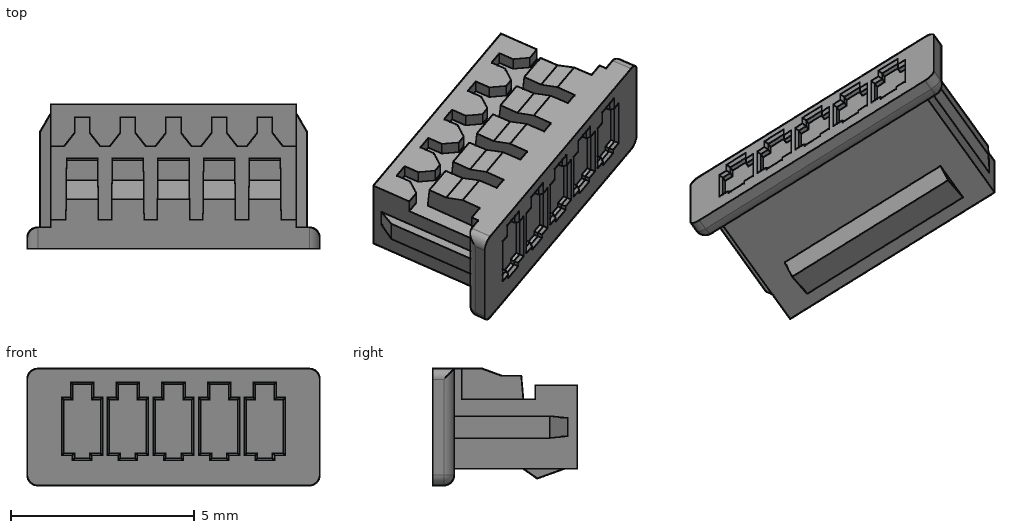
import cadquery as cq

flange_width = 8.0
flange_height = 3.2
flange_thickness = 0.59
flange_round = 0.3

body_width = 6.72
body_back = 3.95
body_top = 1.14
body_bottom = -1.14
flange_top = flange_height / 2

contact_count = 5
contact_pitch = 1.25
contact_centers = [(i - (contact_count - 1) / 2) * contact_pitch for i in range(contact_count)]

channel_floor = 0.76
bar_back = 0.8
finger_top_back = 2.42
finger_foot_back = 2.48
finger_low_top = 1.41
finger_slope_back = 1.88
finger_slope_front = 1.35
finger_front_width = 0.89
finger_back_width = 0.85

rear_wall_front = 2.8
funnel_mouth_width = 0.99
funnel_throat_width = 0.42
funnel_throat_y = 3.17
funnel_end_y = 3.6

rib_reach = 0.29
rib_outer_height = 0.6
rib_root_height = 0.5
rib_slant_start = 3.2
rib_slant_end = 3.7

latch_width = 5.12
latch_front = 2.48
latch_peak_y = 2.86
latch_back = 3.59
latch_depth = 0.26

window_width = 1.12
window_top = 0.81
window_bottom = -0.77
upper_tab_width = 0.63
upper_tab_top = 1.22
lower_tab_width = 0.53
lower_tab_bottom = -0.9
lead_in_inset = 0.06
lead_in_depth = 0.1
window_depth = 0.22


def box_between(x_min, x_max, y_min, y_max, z_min, z_max):
    """Box given by its limits along each axis."""
    size = (x_max - x_min, y_max - y_min, z_max - z_min)
    return cq.Workplane("XY").box(*size, centered=False).translate((x_min, y_min, z_min))


def side_profile(points, width):
    """Extrude a (Y, Z) outline along X, centred on X = 0."""
    return cq.Workplane("YZ").polyline(points).close().extrude(width / 2, both=True)


def make_flange():
    """Plate with rounded corners; the rear edge is rounded except along the top."""
    plate = box_between(
        -flange_width / 2, flange_width / 2, 0, flange_thickness, -flange_height / 2, flange_top
    )
    rear_rounded = plate.edges("(>Y and (not >Z)) or (|Y and <Z)").fillet(flange_round)
    rounded_outline = plate.edges("|Y").fillet(flange_round)
    return rear_rounded.intersect(rounded_outline)


def make_body():
    """Main block with the cross channel, plus the bar that closes it at the front."""
    return side_profile(
        [
            (0, body_bottom),
            (body_back, body_bottom),
            (body_back, body_top),
            (rear_wall_front, body_top),
            (rear_wall_front, channel_floor),
            (bar_back, channel_floor),
            (bar_back, flange_top),
            (0, flange_top),
        ],
        body_width,
    )


def make_finger(x_center):
    """Finger with a stepped top, narrowing slightly toward the rear."""
    profile = side_profile(
        [
            (bar_back, channel_floor),
            (finger_foot_back, channel_floor),
            (finger_top_back, finger_low_top),
            (finger_slope_back, finger_low_top),
            (finger_slope_front, flange_top),
            (bar_back, flange_top),
        ],
        finger_front_width,
    )
    plan = (
        cq.Workplane("XY", origin=(0, 0, channel_floor))
        .polyline(
            [
                (-finger_front_width / 2, bar_back),
                (finger_front_width / 2, bar_back),
                (finger_back_width / 2, finger_foot_back),
                (-finger_back_width / 2, finger_foot_back),
            ]
        )
        .close()
        .extrude(flange_top - channel_floor)
    )
    return profile.intersect(plan).translate((x_center, 0, 0))


def make_funnel_cut(x_center):
    """Notch in the rear wall: wide mouth narrowing to a straight throat."""
    right_side = [
        (funnel_mouth_width / 2, rear_wall_front),
        (funnel_throat_width / 2, funnel_throat_y),
        (funnel_throat_width / 2, funnel_end_y),
    ]
    left_side = [(-x, y) for x, y in reversed(right_side)]
    return (
        cq.Workplane("XY", origin=(x_center, 0, channel_floor))
        .polyline(right_side + left_side)
        .close()
        .extrude(body_top - channel_floor)
    )


def make_right_rib():
    """Dovetail rib on the +X side, with its rear end slanting back to the body."""
    root_x = body_width / 2
    outer_x = root_x + rib_reach
    section = (
        cq.Workplane("XZ")
        .polyline(
            [
                (root_x, -rib_root_height / 2),
                (outer_x, -rib_outer_height / 2),
                (outer_x, rib_outer_height / 2),
                (root_x, rib_root_height / 2),
            ]
        )
        .close()
        .extrude(-rib_slant_end)
    )
    plan = (
        cq.Workplane("XY")
        .polyline([(root_x, 0), (outer_x, 0), (outer_x, rib_slant_start), (root_x, rib_slant_end)])
        .close()
        .extrude(rib_outer_height, both=True)
    )
    return section.intersect(plan)


def make_latch():
    """Triangular ridge on the underside."""
    return side_profile(
        [
            (latch_front, body_bottom),
            (latch_peak_y, body_bottom - latch_depth),
            (latch_back, body_bottom),
        ],
        latch_width,
    )


def window_outline(inset):
    """(X, Z) outline of a contact window, moved inward by inset."""
    right_side = [
        (lower_tab_width / 2 - inset, lower_tab_bottom + inset),
        (lower_tab_width / 2 - inset, window_bottom + inset),
        (window_width / 2 - inset, window_bottom + inset),
        (window_width / 2 - inset, window_top - inset),
        (upper_tab_width / 2 - inset, window_top - inset),
        (upper_tab_width / 2 - inset, upper_tab_top - inset),
    ]
    left_side = [(-x, z) for x, z in reversed(right_side)]
    return right_side + left_side


def make_window_cut(x_center):
    """Blind window: tapered lead-in followed by straight walls."""
    lead_in = (
        cq.Workplane("XZ")
        .polyline(window_outline(0))
        .close()
        .workplane(offset=-lead_in_depth)
        .polyline(window_outline(lead_in_inset))
        .close()
        .loft(ruled=True)
    )
    straight = cq.Workplane("XZ").polyline(window_outline(lead_in_inset)).close().extrude(-window_depth)
    return lead_in.union(straight).translate((x_center, 0, 0))


right_rib = make_right_rib()
result = make_flange().union(make_body()).union(make_latch())
result = result.union(right_rib).union(right_rib.mirror("YZ"))
for center in contact_centers:
    result = result.union(make_finger(center))
    result = result.cut(make_funnel_cut(center))
    result = result.cut(make_window_cut(center))